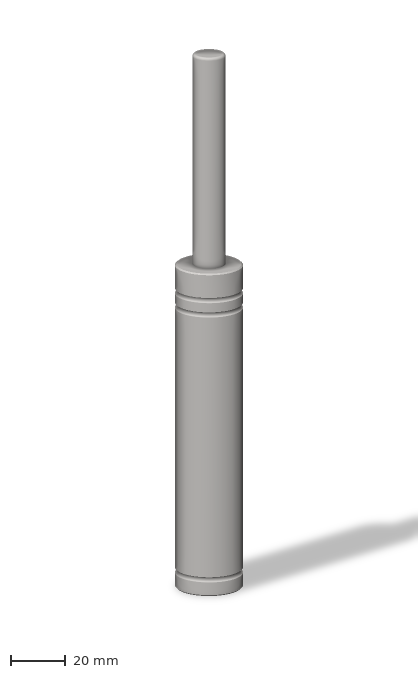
import cadquery as cq

total_height = 205.0
body_diameter = 25.0
body_height = 124.0
rod_diameter = 12.0

body_edge_chamfer = 0.5
rod_tip_radius = 1.0

groove_radius = 1.0
upper_groove_depth = 10.2
groove_spacing = 5.5
lower_groove_height = 6.4

upper_groove_height = body_height - upper_groove_depth
groove_heights = [
    lower_groove_height,
    upper_groove_height - groove_spacing,
    upper_groove_height,
]


def make_body():
    """Cylinder body with both end edges chamfered."""
    cylinder = cq.Workplane("XY").circle(body_diameter / 2).extrude(body_height)
    return cylinder.faces("<Z or >Z").edges().chamfer(body_edge_chamfer)


def make_rod():
    """Piston rod standing on the body, rounded at its tip."""
    rod = (
        cq.Workplane("XY")
        .workplane(offset=body_height)
        .circle(rod_diameter / 2)
        .extrude(total_height - body_height)
    )
    return rod.faces(">Z").edges().fillet(rod_tip_radius)


def make_groove_cutter(height):
    """Ring of round section centred on the body surface."""
    return (
        cq.Workplane("XZ")
        .center(body_diameter / 2, height)
        .circle(groove_radius)
        .revolve(360, (-body_diameter / 2, 0), (-body_diameter / 2, 1))
    )


result = make_body().union(make_rod())
for groove_height in groove_heights:
    result = result.cut(make_groove_cutter(groove_height))